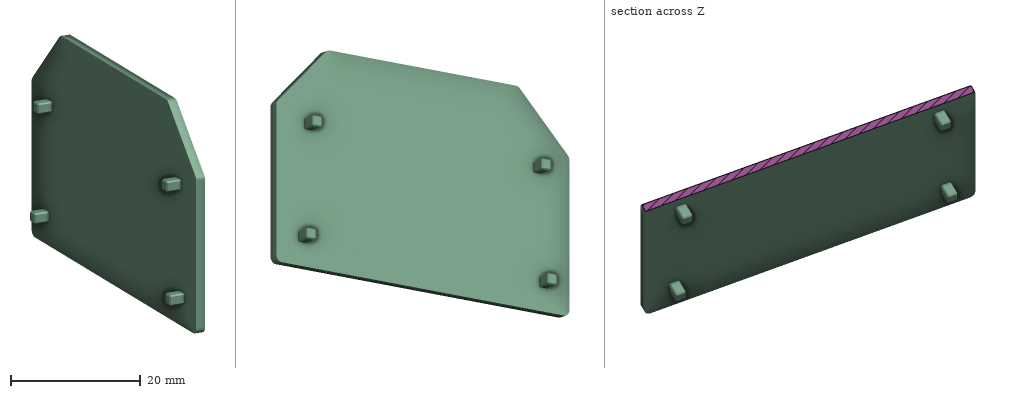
import cadquery as cq

width = 56.4
height = 35.3
total_depth = 4.0
plate_thickness = 1.5
corner_cut = 9.85
corner_radius = 1.0

peg_side = 1.75
peg_chamfer = 0.2
peg_length = total_depth - plate_thickness
upper_peg_x = 22.05
upper_peg_z = 5.2
lower_peg_x = 23.2
lower_peg_z = -13.0


def make_plate():
    """Plate with two 45 degree upper corners; its front face lies at Y = 0."""
    half_width = width / 2
    half_height = height / 2
    outline = [
        (-half_width, -half_height),
        (half_width, -half_height),
        (half_width, half_height - corner_cut),
        (half_width - corner_cut, half_height),
        (-half_width + corner_cut, half_height),
        (-half_width, half_height - corner_cut),
    ]
    plate = cq.Workplane("XZ").polyline(outline).close().extrude(-plate_thickness)
    return plate.edges("|Y").fillet(corner_radius)


def make_peg(x, z):
    """Peg standing out towards -Y, chamfered along its sides and tip."""
    peg = cq.Workplane("XZ").center(x, z).rect(peg_side, peg_side).extrude(peg_length)
    return peg.edges("|Y or <Y").chamfer(peg_chamfer)


result = make_plate()
for side in (-1, 1):
    result = result.union(make_peg(side * upper_peg_x, upper_peg_z))
    result = result.union(make_peg(side * lower_peg_x, lower_peg_z))